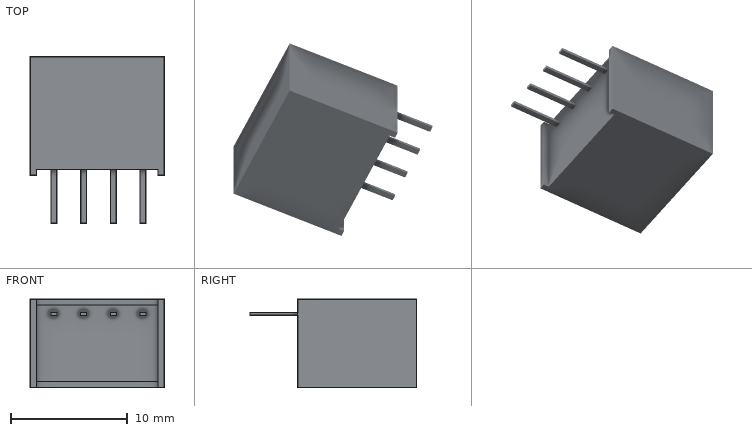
import cadquery as cq

total_length = 14.3
case_width = 11.5
case_height = 7.6
case_length = 10.2

side_wall = 0.56
end_wall = 0.51
side_lip = 0.5

pin_count = 4
pin_pitch = 2.55
pin_width = 0.51
pin_thickness = 0.26
pin_row_shift = 0.1
pin_row_depth = 1.26

case_front_y = total_length - case_length
open_face_y = case_front_y + side_lip
pin_length = open_face_y

cavity_width = case_width - 2 * side_wall
cavity_height = case_height - 2 * end_wall
cavity_length = total_length - end_wall - open_face_y


def block(width, length, height, start_y):
    """Box centred on X and Z that runs toward +Y from start_y."""
    box = cq.Workplane("XY").box(width, length, height, centered=(True, False, True))
    return box.translate((0, start_y, 0))


def make_case():
    """Five-sided case whose top and bottom walls stop short of the side walls."""
    shell = block(case_width, case_length, case_height, case_front_y)
    lip_gap = block(cavity_width, side_lip, case_height, case_front_y)
    cavity = block(cavity_width, cavity_length, cavity_height, open_face_y)
    return shell.cut(lip_gap).cut(cavity)


def make_potting():
    """Potting block that fills the cavity flush with the top and bottom walls."""
    return block(cavity_width, cavity_length, cavity_height, open_face_y)


def make_pin(center_x):
    """Flat pin standing on the potting face."""
    center_z = case_height / 2 - pin_row_depth
    return block(pin_width, pin_length, pin_thickness, 0).translate((center_x, 0, center_z))


case = make_case()
potting = make_potting()

first_pin_x = pin_row_shift - pin_pitch * (pin_count - 1) / 2
pins = []
for index in range(pin_count):
    pins.append(make_pin(first_pin_x + index * pin_pitch).val())

result = cq.Compound.makeCompound([case.val(), potting.val(), *pins])